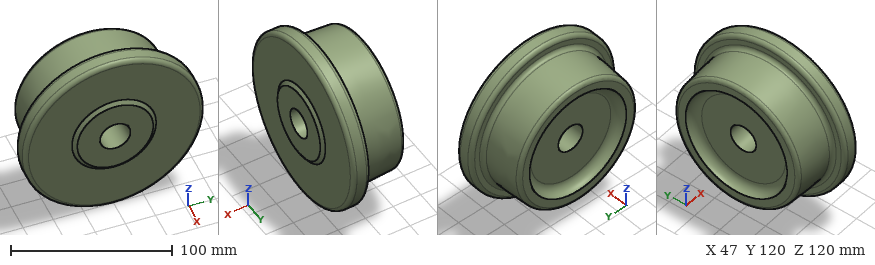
import cadquery as cq

total_width = 47.0
flange_radius = 60.0
flange_width = 13.0
flange_rounding = 3.0
hub_height = 2.0
hub_base_radius = 28.0
hub_top_radius = 25.2

tread_outer_radius = 48.6
tread_inner_radius = 50.0
tread_rounding = 3.0
tread_root_fillet = 3.0

recess_radius = 40.0
recess_corner_radius = 7.0
bore_radius = 10.1

tread_face = -total_width / 2
hub_face = total_width / 2
flange_back = hub_face - hub_height
flange_front = flange_back - flange_width
tread_root_x = flange_front - tread_root_fillet

tread_middle_x = (tread_face + tread_root_x) / 2
tread_middle_radius = tread_inner_radius - (tread_inner_radius - tread_outer_radius) / 4


def revolve_about_x(profile):
    return profile.close().revolve(360, (0, 0, 0), (1, 0, 0))


def make_tread():
    tread = revolve_about_x(
        cq.Workplane("XY")
        .moveTo(tread_face, 0)
        .lineTo(tread_face, tread_outer_radius)
        .threePointArc((tread_middle_x, tread_middle_radius), (tread_root_x, tread_inner_radius))
        .lineTo(tread_root_x, 0)
    )
    return tread.faces("<X").edges().fillet(tread_rounding)


def make_flange():
    flange = cq.Workplane("YZ", origin=(flange_front, 0, 0)).circle(flange_radius).extrude(flange_width)
    return flange.edges().fillet(flange_rounding)


def make_root_fillet():
    outer_radius = tread_inner_radius + tread_root_fillet
    sag = tread_root_fillet * 0.5 ** 0.5
    return revolve_about_x(
        cq.Workplane("XY")
        .moveTo(tread_root_x, 0)
        .lineTo(tread_root_x, tread_inner_radius)
        .threePointArc((tread_root_x + sag, outer_radius - sag), (flange_front, outer_radius))
        .lineTo(flange_front, 0)
    )


def make_hub():
    return revolve_about_x(
        cq.Workplane("XY")
        .moveTo(flange_back, 0)
        .lineTo(flange_back, hub_base_radius)
        .lineTo(hub_face, hub_top_radius)
        .lineTo(hub_face, 0)
    )


def make_recess():
    floor_x = tread_face + recess_corner_radius
    floor_radius = recess_radius - recess_corner_radius
    sag = recess_corner_radius * 0.5 ** 0.5
    return revolve_about_x(
        cq.Workplane("XY")
        .moveTo(tread_face, 0)
        .lineTo(tread_face, recess_radius)
        .threePointArc((tread_face + sag, floor_radius + sag), (floor_x, floor_radius))
        .lineTo(floor_x, 0)
    )


bore = cq.Workplane("YZ", origin=(tread_face, 0, 0)).circle(bore_radius).extrude(total_width)

wheel = make_tread().union(make_flange()).union(make_root_fillet()).union(make_hub())
result = wheel.cut(make_recess()).cut(bore)